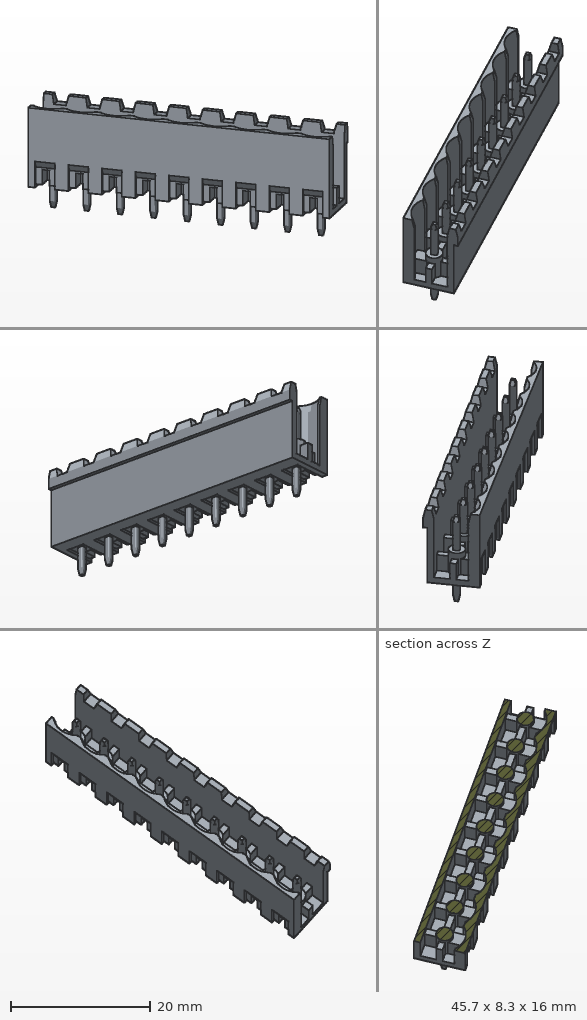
import cadquery as cq
import math


pole_count = 9
length = 45.7
pitch = length / pole_count
body_depth = 7.73
height = 12.0
floor_thickness = 0.95
front_wall_thickness = 1.65
back_wall_thickness = 1.0
back_wall_inner_y = body_depth - back_wall_thickness

taper_start_z = 10.6
taper_inset = 0.3

rail_y = 8.3
rail_bottom_z = 9.0
notch_bottom_width = 1.85
notch_top_width = 2.45

pin_y = 3.9
pin_width = 1.0
pin_corner_radius = 0.27
pin_tip_inset = 0.25
pin_bottom_z = -3.95
pin_top_z = 10.05
lower_tip_length = 1.0
upper_tip_length = 0.82

scallop_radius = 3.05

boss_y = 3.85
boss_diameter = 2.5
boss_top_z = 4.55
boss_front_y = boss_y - boss_diameter / 2
rib_top_z = 3.55
long_rib_width = 0.95
back_rib_width = 1.0
front_block_width = 2.0

recess_width = 3.0
recess_depth = 0.4
recess_front_z = 4.0
recess_back_z = 3.0
slot_width = 1.1
slot_front_z = 2.7
slot_back_z = 2.2
pocket_height = 0.4
pocket_end_y = pin_y + recess_width / 2

pole_positions = [(index + 0.5) * pitch for index in range(pole_count)]


def box_between(x_range, y_range, z_range):
    """Box given by its limits along each axis."""
    return cq.Workplane("XY").box(
        x_range[1] - x_range[0],
        y_range[1] - y_range[0],
        z_range[1] - z_range[0],
        centered=False,
    ).translate((x_range[0], y_range[0], z_range[0]))


def centered_range(middle, width):
    return (middle - width / 2, middle + width / 2)


def prism_along_x(points, x_range):
    """Prism over a (Y, Z) outline."""
    outline = cq.Workplane("YZ").workplane(offset=x_range[0]).polyline(points).close()
    return outline.extrude(x_range[1] - x_range[0])


def make_channel():
    """U section with leaning wall tops and the snap rail."""
    section = [
        (0, 0),
        (body_depth, 0),
        (body_depth, rail_bottom_z),
        (rail_y, rail_bottom_z),
        (rail_y, taper_start_z),
        (rail_y - taper_inset, height),
        (back_wall_inner_y + taper_inset, height),
        (back_wall_inner_y, taper_start_z),
        (back_wall_inner_y, floor_thickness),
        (front_wall_thickness, floor_thickness),
        (front_wall_thickness, taper_start_z),
        (front_wall_thickness - taper_inset, height),
        (0, height),
    ]
    return prism_along_x(section, (0, length))


def make_scallop(x):
    """Round cutter for the front wall, flared at the top."""
    straight = (
        cq.Workplane("XY", origin=(x, pin_y, floor_thickness))
        .circle(scallop_radius)
        .extrude(taper_start_z - floor_thickness)
    )
    flare_height = height - taper_start_z
    flare_angle = math.degrees(math.atan(taper_inset / flare_height))
    flare = (
        cq.Workplane("XY", origin=(x, pin_y, taper_start_z))
        .circle(scallop_radius)
        .extrude(flare_height, taper=-flare_angle)
    )
    front_half = box_between((0, length), (0, pin_y), (0, height))
    return straight.union(flare).intersect(front_half)


def make_notch(x):
    """Flared gap between two teeth of the back wall."""
    outline = [
        (x - notch_bottom_width / 2, taper_start_z),
        (x + notch_bottom_width / 2, taper_start_z),
        (x + notch_top_width / 2, height),
        (x - notch_top_width / 2, height),
    ]
    tooth_depth = rail_y - back_wall_inner_y
    return cq.Workplane("XZ", origin=(0, rail_y, 0)).polyline(outline).close().extrude(tooth_depth)


def make_boss(x):
    """Solid round boss about a pin, starting at the roof of the underside pocket."""
    disc = cq.Workplane("XY", origin=(x, boss_y, pocket_height)).circle(boss_diameter / 2)
    return disc.extrude(boss_top_z - pocket_height)


def make_floor_supports(x):
    """Back rib and the front block that reaches into the front wall."""
    support_z = (0, rib_top_z)
    back_rib = box_between(centered_range(x, back_rib_width), (pin_y, body_depth), support_z)
    front_block = box_between(centered_range(x, front_block_width), (recess_depth, pin_y), support_z)
    return back_rib.union(front_block)


def make_foot_cutter(x):
    """Recess with a sloping roof, narrow slot to the boss, shallow pocket below."""
    recess = prism_along_x(
        [(0, 0), (recess_depth, 0), (recess_depth, recess_back_z), (0, recess_front_z)],
        centered_range(x, recess_width),
    )
    slot = prism_along_x(
        [
            (recess_depth, 0),
            (boss_y, 0),
            (boss_y, slot_back_z),
            (boss_front_y, slot_back_z),
            (recess_depth, slot_front_z),
        ],
        centered_range(x, slot_width),
    )
    pocket = box_between(centered_range(x, recess_width), (0, pocket_end_y), (0, pocket_height))
    return recess.union(slot).union(pocket)


def pin_section(x, z):
    """Rounded square section of a pin at height z."""
    square = cq.Sketch().rect(pin_width, pin_width).vertices().fillet(pin_corner_radius)
    return cq.Workplane("XY", origin=(x, pin_y, z)).placeSketch(square)


def make_pin(x):
    """Pin whose lower tip keeps its rounded corners and whose upper tip is a square pyramid."""
    shank_bottom_z = pin_bottom_z + lower_tip_length
    shank_top_z = pin_top_z - upper_tip_length
    lower_taper = math.degrees(math.atan(pin_tip_inset / lower_tip_length))
    upper_taper = math.degrees(math.atan(pin_tip_inset / upper_tip_length))
    shank = pin_section(x, shank_bottom_z).extrude(shank_top_z - shank_bottom_z)
    lower_tip = pin_section(x, shank_bottom_z).extrude(-lower_tip_length, taper=lower_taper)
    pyramid = (
        cq.Workplane("XY", origin=(x, pin_y, shank_top_z))
        .rect(pin_width, pin_width)
        .extrude(upper_tip_length, taper=upper_taper)
    )
    upper_tip = pin_section(x, shank_top_z).extrude(upper_tip_length).intersect(pyramid)
    return shank.union(lower_tip).union(upper_tip)


result = make_channel()

for pole_x in pole_positions:
    result = result.cut(make_scallop(pole_x)).cut(make_notch(pole_x))

long_rib = box_between((0, length), centered_range(pin_y, long_rib_width), (0, rib_top_z))
result = result.union(long_rib)

for pole_x in pole_positions:
    result = result.union(make_floor_supports(pole_x))
    result = result.cut(make_foot_cutter(pole_x))
    result = result.union(make_boss(pole_x))
    result = result.union(make_pin(pole_x))